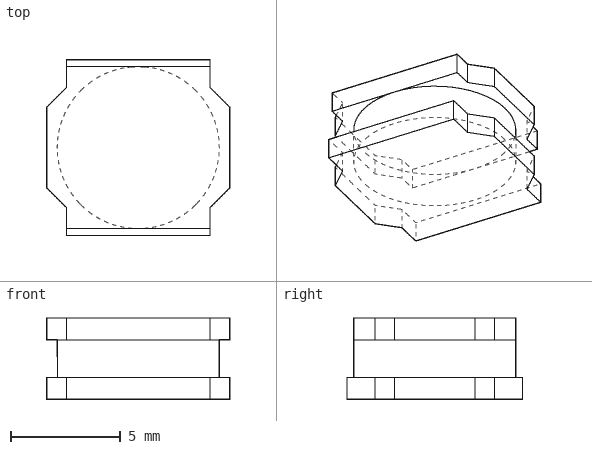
import cadquery as cq

flange_length_x = 8.32
base_width_y = 8.0
total_height = 3.7
flange_thickness = 1.0
core_diameter = 7.37
cap_width_y = core_diameter

side_edge_length = 3.67
bevel = 0.89

core_height = total_height - 2 * flange_thickness


def flange(width_y):
    """Bevelled plate with a straight tab at each Y end, resting on Z = 0."""
    half_length = flange_length_x / 2
    half_tab = half_length - bevel
    half_side = side_edge_length / 2
    centre_block = (
        cq.Workplane("XY")
        .polyline([
            (half_length, -half_side),
            (half_length, half_side),
            (half_tab, half_side + bevel),
            (-half_tab, half_side + bevel),
            (-half_length, half_side),
            (-half_length, -half_side),
            (-half_tab, -half_side - bevel),
            (half_tab, -half_side - bevel),
        ])
        .close()
        .extrude(flange_thickness)
    )
    tabs = cq.Workplane("XY").rect(2 * half_tab, width_y).extrude(flange_thickness)
    return centre_block.union(tabs)


def core():
    """Round winding core between the two flanges."""
    return (
        cq.Workplane("XY")
        .workplane(offset=flange_thickness)
        .circle(core_diameter / 2)
        .extrude(core_height)
    )


base = flange(base_width_y)
cap = flange(cap_width_y).translate((0, 0, flange_thickness + core_height))

result = base.union(core()).union(cap).clean()